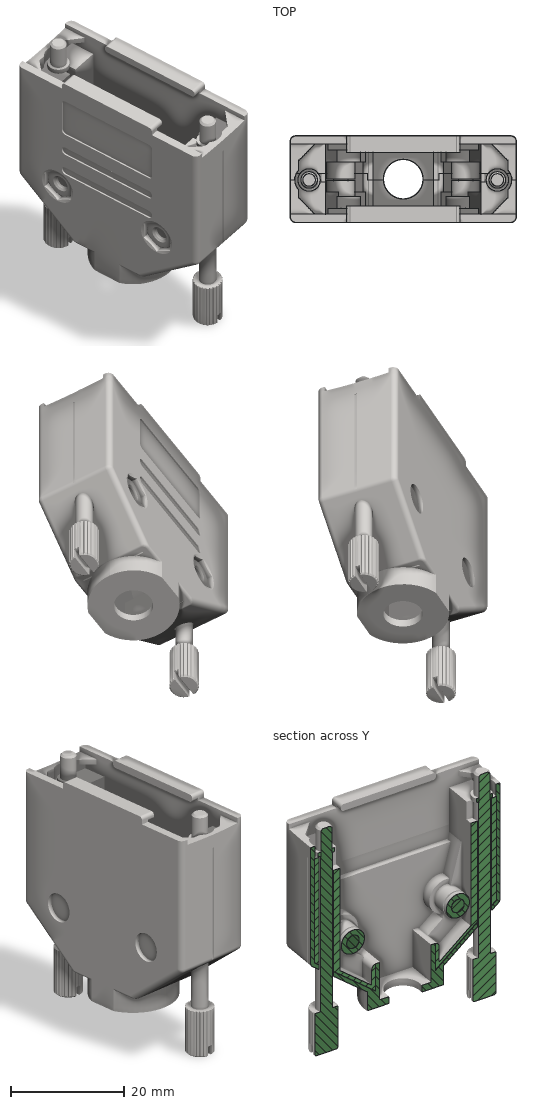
import cadquery as cq
import math

WIDTH = 40.0
DEPTH = 15.35
HALF_WIDTH = WIDTH / 2
HALF_DEPTH = DEPTH / 2
SEAM_Y = -0.15
RIM_Z = 45.05
SHOULDER_Z = 19.2
BODY_BOTTOM_Z = 9.7
SLOPE_END_X = 8.05
EDGE_RADIUS = 1.05
BOTTOM_EDGE_RADIUS = 0.5
WALL = 1.5
INNER_Y = HALF_DEPTH - WALL
SLOPE = (SHOULDER_Z - BODY_BOTTOM_Z) / (HALF_WIDTH - SLOPE_END_X)

NECK_BOTTOM_Z = 5.75
NECK_HALF_WIDTH = 8.1
NECK_FLAT_X = 2.75
NECK_FLOOR_Z = NECK_BOTTOM_Z + WALL
CABLE_HOLE_RADIUS = 3.5
THROAT_HALF_WIDTH = 5.35
THROAT_RIDGE_X = 7.15
THROAT_RIDGE_Z = 15.05
THROAT_RIDGE_RADIUS = 1.05

TAB_HALF_WIDTH = 10.0
TAB_TOP_Z = 46.5
TAB_DEPTH = 2.95
TAB_RADIUS = 0.6

CAVITY_HALF_WIDTH = 13.72
THICK_WALL_Y = 5.15
THICK_WALL_Z = 30.65
UNDERCUT_TOP_Z = 33.6
UNDERCUT_DEPTH = 0.15

END_TOP_Z = 44.1
END_DIP = 0.2
PLATE_BOTTOM_Z = 43.0
LANDING_Z = 41.3
SLOT_END_X = HALF_WIDTH - WALL
NOTCH_MOUTH_X = 15.65
NOTCH_HALF_WIDTH = 3.25
NOTCH_ROUND_RADIUS = 2.55
RELIEF_LOW_Y = -0.5
RELIEF_HIGH_Y = 1.05
RELIEF_DEPTH = 3.75

SEAM_GROOVE_WIDTH = 0.45
SEAM_GROOVE_DEPTH = 0.1

RECESS_DEPTH = 0.3
RECESS_LENGTH = 20.1
LABEL_Z = 38.4
LABEL_HEIGHT = 7.95
GRIP_ZS = (30.5, 25.75)
GRIP_HEIGHT = 1.7
RECESS_RADIUS = 0.8

CLAMP_X = 11.05
CLAMP_Z = 21.2
CLAMP_SCREW_RADIUS = 1.25
NUT_FLATS = 5.5
NUT_POCKET_FLATS = 5.85
NUT_THICKNESS = 1.75
NUT_SINK = 0.85
NUT_FACE_RADIUS = 2.73
NUT_BORE_CHAMFER = 0.35
SCREW_END_SINK = 0.95
POCKET_CONE_RADIUS = 3.5
POCKET_CONE_DEPTH = 0.2
HEAD_RADIUS = 2.73
POCKET_DEPTH = NUT_SINK + NUT_THICKNESS
SPACER_RADIUS = 2.5
SPACER_GAP = 0.3
BOSS_RADIUS = 3.52
BOSS_FACE_Y = 3.05

BENCH_BACK_Y = 3.05
BENCH_FRONT_Y = -2.25
BENCH_START_X = 6.67
BENCH_START_Z = 14.85
BENCH_KNEE_X = 9.78
BENCH_TOP_Z = 32.05

TONGUE_REACH_Y = 1.05
TONGUE_COVER = WALL / 2
TONGUE_START_X = 6.3

THUMB_X = 16.65
THUMB_TIP_Z = 47.0
SHAFT_RADIUS = 1.55
SHAFT_CLEARANCE_RADIUS = 1.7
THREAD_RADIUS = 1.45
TIP_CHAMFER = 0.352
KNOB_RADIUS = 2.65
KNOB_HEIGHT = 9.0
KNOB_CHAMFER = 0.3
KNURL_COUNT = 24
KNURL_DEPTH = 0.3
KNURL_HALF_ANGLE = 4.5
DRIVER_SLOT_WIDTH = 1.0
DRIVER_SLOT_DEPTH = 2.0
RING_RADIUS = 1.97
RING_HEIGHT = 0.95


def box(x0, x1, y0, y1, z0, z1):
    """Axis-aligned box between two corners."""
    return cq.Workplane("XY").box(x1 - x0, y1 - y0, z1 - z0, centered=False).translate((x0, y0, z0))


def along_y(profile, y0, y1):
    """Extrude a closed XZ profile between two Y planes."""
    return profile.extrude(y0 - y1).translate((0, y0, 0))


def rod_y(x, z, radius, y0, y1):
    """Cylinder along Y."""
    return along_y(cq.Workplane("XZ").center(x, z).circle(radius), y0, y1)


def rod_z(x, y, radius, z0, z1):
    """Cylinder along Z."""
    return cq.Workplane("XY", origin=(x, y, z0)).circle(radius).extrude(z1 - z0)


def hexagon_y(x, z, flats, y0, y1):
    """Hexagonal prism along Y with two flats facing +-X."""
    corner_diameter = flats / math.cos(math.pi / 6)
    profile = cq.Workplane("XZ").polygon(6, corner_diameter)
    prism = along_y(profile, y0, y1).rotate((0, 0, 0), (0, 1, 0), 30)
    return prism.translate((x, 0, z))


def mirrored_profile(right_points):
    """XZ polygon from its right half and the mirror image of that half."""
    left_points = [(-x, z) for x, z in reversed(right_points)]
    return cq.Workplane("XZ").polyline(right_points + left_points).close()


def slope_z(x, inset):
    """Height at x of the line that runs parallel to the slope at a distance inside it."""
    return BODY_BOTTOM_Z + (x - SLOPE_END_X) * SLOPE + inset * math.hypot(1, SLOPE)


def outer_body():
    """Shell outline with rounded front and back edges, before the neck is added."""
    outline = [(SLOPE_END_X, BODY_BOTTOM_Z), (HALF_WIDTH, SHOULDER_Z), (HALF_WIDTH, RIM_Z)]
    body = along_y(mirrored_profile(outline), -HALF_DEPTH, HALF_DEPTH)
    margin = EDGE_RADIUS
    shoulders = cq.selectors.BoxSelector(
        (-HALF_WIDTH - margin, -margin, SHOULDER_Z - margin),
        (HALF_WIDTH + margin, margin, SHOULDER_Z + margin),
    )
    body = body.edges(shoulders).fillet(EDGE_RADIUS)
    body = body.faces("<Y or >Y").edges("not |X").fillet(EDGE_RADIUS)
    return body.faces("<Z").edges("|X").fillet(BOTTOM_EDGE_RADIUS)


def neck():
    """Round cable neck with flats flush with the front and back faces."""
    return (
        cq.Workplane("XY", origin=(0, 0, NECK_BOTTOM_Z))
        .moveTo(-NECK_FLAT_X, -HALF_DEPTH)
        .lineTo(NECK_FLAT_X, -HALF_DEPTH)
        .threePointArc((NECK_HALF_WIDTH, 0), (NECK_FLAT_X, HALF_DEPTH))
        .lineTo(-NECK_FLAT_X, HALF_DEPTH)
        .threePointArc((-NECK_HALF_WIDTH, 0), (-NECK_FLAT_X, -HALF_DEPTH))
        .close()
        .extrude(BODY_BOTTOM_Z + WALL - NECK_BOTTOM_Z)
    )


def cavity():
    """Space inside the two shells, down to the cable throat."""
    upper = box(-CAVITY_HALF_WIDTH, CAVITY_HALF_WIDTH, -INNER_Y, INNER_Y, THICK_WALL_Z, RIM_Z)
    undercut_y = INNER_Y + UNDERCUT_DEPTH
    undercut = box(
        -CAVITY_HALF_WIDTH, CAVITY_HALF_WIDTH, -undercut_y, undercut_y, THICK_WALL_Z, UNDERCUT_TOP_Z
    )
    lower_outline = [
        (THROAT_RIDGE_X, slope_z(THROAT_RIDGE_X, WALL)),
        (CAVITY_HALF_WIDTH, slope_z(CAVITY_HALF_WIDTH, WALL)),
        (CAVITY_HALF_WIDTH, THICK_WALL_Z),
    ]
    lower = along_y(mirrored_profile(lower_outline), -THICK_WALL_Y, THICK_WALL_Y)
    ridges = box(
        -THROAT_RIDGE_X, THROAT_RIDGE_X, -THICK_WALL_Y, THICK_WALL_Y, BODY_BOTTOM_Z, THROAT_RIDGE_Z
    )
    ridges = ridges.faces(">Z").edges("|Y").fillet(THROAT_RIDGE_RADIUS)
    throat = box(
        -THROAT_HALF_WIDTH, THROAT_HALF_WIDTH, -THICK_WALL_Y, THICK_WALL_Y, NECK_FLOOR_Z, THROAT_RIDGE_Z
    )
    return upper.union(undercut).union(lower.cut(ridges)).union(throat)


def bench(side, y0, y1):
    """Thickened floor and side wall under one boss."""
    knee_z = BENCH_START_Z + (BENCH_KNEE_X - BENCH_START_X) * SLOPE
    outline = [
        (BENCH_START_X, slope_z(BENCH_START_X, WALL / 2)),
        (BENCH_START_X, BENCH_START_Z),
        (BENCH_KNEE_X, knee_z),
        (CAVITY_HALF_WIDTH, BENCH_TOP_Z),
        (CAVITY_HALF_WIDTH, slope_z(CAVITY_HALF_WIDTH, WALL / 2)),
    ]
    profile = cq.Workplane("XZ").polyline([(side * x, z) for x, z in outline]).close()
    return along_y(profile, y0, y1)


def clamp_supports(side):
    """Benches and bosses behind the pockets, with round spacers up to the seam, at one X side."""
    x = side * CLAMP_X
    bosses = rod_y(x, CLAMP_Z, BOSS_RADIUS, -INNER_Y, INNER_Y)
    bosses = bosses.cut(box(-HALF_WIDTH, HALF_WIDTH, -BOSS_FACE_Y, BOSS_FACE_Y, 0, RIM_Z))
    gap_front = SEAM_Y - SPACER_GAP / 2
    gap_back = SEAM_Y + SPACER_GAP / 2
    supports = rod_y(x, CLAMP_Z, SPACER_RADIUS, -INNER_Y, gap_front)
    supports = supports.union(rod_y(x, CLAMP_Z, SPACER_RADIUS, gap_back, INNER_Y))
    supports = supports.union(bosses)
    supports = supports.union(bench(side, -INNER_Y, BENCH_FRONT_Y))
    return supports.union(bench(side, BENCH_BACK_Y, INNER_Y))


def clamp_holes(side):
    """Screw bore with a hexagonal nut pocket in front and a round head pocket behind."""
    x = side * CLAMP_X
    bore = rod_y(x, CLAMP_Z, CLAMP_SCREW_RADIUS, -HALF_DEPTH, HALF_DEPTH)
    nut_pocket = hexagon_y(x, CLAMP_Z, NUT_POCKET_FLATS, -HALF_DEPTH, POCKET_DEPTH - HALF_DEPTH)
    head_pocket = rod_y(x, CLAMP_Z, HEAD_RADIUS, HALF_DEPTH - POCKET_DEPTH, HALF_DEPTH)
    cone_tip_radius = NUT_POCKET_FLATS / 2
    cone = cq.Solid.makeCone(
        POCKET_CONE_RADIUS, cone_tip_radius, POCKET_CONE_DEPTH,
        cq.Vector(x, -HALF_DEPTH, CLAMP_Z), cq.Vector(0, 1, 0),
    )
    return bore.union(nut_pocket).union(head_pocket).union(cq.Workplane(cone))


def latch_tab(side):
    """Round-ended bar over the rim; the part above the wall stands on square feet."""
    outer_y = side * HALF_DEPTH
    inner_y = side * (HALF_DEPTH - TAB_DEPTH)
    wall_y = side * INNER_Y
    bar = box(
        -TAB_HALF_WIDTH, TAB_HALF_WIDTH, min(outer_y, inner_y), max(outer_y, inner_y), RIM_Z, TAB_TOP_Z
    )
    bar = bar.edges("|Y").fillet(TAB_RADIUS)
    foot = box(
        -TAB_HALF_WIDTH, TAB_HALF_WIDTH, min(outer_y, wall_y), max(outer_y, wall_y),
        RIM_Z - WALL, (RIM_Z + TAB_TOP_Z) / 2,
    )
    return bar.union(foot)


def end_openings(side):
    """Lowered end top, flange slot, notched plate and screw clearance at one X side."""
    x = side * THUMB_X

    def slab(x_in, x_out, half_y, z0, z1):
        near, far = sorted((side * x_in, side * x_out))
        return box(near, far, -half_y, half_y, z0, z1)

    hollow_top = (
        cq.Workplane("YZ")
        .moveTo(-INNER_Y, RIM_Z)
        .lineTo(-INNER_Y, END_TOP_Z)
        .threePointArc((0, END_TOP_Z - END_DIP), (INNER_Y, END_TOP_Z))
        .lineTo(INNER_Y, RIM_Z)
        .close()
        .extrude(side * (HALF_WIDTH - CAVITY_HALF_WIDTH))
        .translate((side * CAVITY_HALF_WIDTH, 0, 0))
    )
    flange_slot = slab(CAVITY_HALF_WIDTH, SLOT_END_X, INNER_Y, LANDING_Z, PLATE_BOTTOM_Z)
    notch_points = [
        (CAVITY_HALF_WIDTH, -INNER_Y),
        (NOTCH_MOUTH_X, -INNER_Y),
        (SLOT_END_X, -NOTCH_HALF_WIDTH),
        (SLOT_END_X, NOTCH_HALF_WIDTH),
        (NOTCH_MOUTH_X, INNER_Y),
        (CAVITY_HALF_WIDTH, INNER_Y),
    ]
    notch = (
        cq.Workplane("XY", origin=(0, 0, LANDING_Z))
        .polyline([(side * px, py) for px, py in notch_points])
        .close()
        .extrude(RIM_Z - LANDING_Z)
    )
    notch_round = rod_z(x, SEAM_Y, NOTCH_ROUND_RADIUS, LANDING_Z, RIM_Z)
    shaft_hole = rod_z(x, SEAM_Y, SHAFT_CLEARANCE_RADIUS, 0, RIM_Z)
    near, far = sorted((side * CAVITY_HALF_WIDTH, x))
    relief = box(near, far, RELIEF_LOW_Y, RELIEF_HIGH_Y, LANDING_Z - RELIEF_DEPTH, LANDING_Z)
    openings = hollow_top
    for opening in (flange_slot, notch, notch_round, shaft_hole, relief):
        openings = openings.union(opening)
    return openings


def seam_groove(side):
    """Shallow groove along the seam on one side face."""
    near, far = sorted((side * (HALF_WIDTH - SEAM_GROOVE_DEPTH), side * HALF_WIDTH))
    half = SEAM_GROOVE_WIDTH / 2
    return box(near, far, SEAM_Y - half, SEAM_Y + half, SHOULDER_Z, LANDING_Z)


def face_recess(z, height):
    """Shallow round-cornered recess in the front face."""
    recess = cq.Workplane("XZ").rect(RECESS_LENGTH, height).extrude(-RECESS_DEPTH)
    return recess.edges("|Y").fillet(RECESS_RADIUS).translate((0, -HALF_DEPTH, z))


def complete_housing():
    """Both shells as one piece, before they are parted at the seam."""
    housing = outer_body().union(neck()).cut(cavity())
    housing = housing.cut(rod_z(0, 0, CABLE_HOLE_RADIUS, NECK_BOTTOM_Z, BODY_BOTTOM_Z))
    for side in (-1, 1):
        housing = housing.union(clamp_supports(side)).union(latch_tab(side))
    for side in (-1, 1):
        housing = housing.cut(clamp_holes(side)).cut(end_openings(side)).cut(seam_groove(side))
    housing = housing.cut(face_recess(LABEL_Z, LABEL_HEIGHT))
    for grip_z in GRIP_ZS:
        housing = housing.cut(face_recess(grip_z, GRIP_HEIGHT))
    return housing


def tongue_space(side):
    """Inner layer of the slope and side wall where the front shell crosses the seam."""
    outer_x = HALF_WIDTH - TONGUE_COVER
    outline = [
        (TONGUE_START_X, slope_z(TONGUE_START_X, TONGUE_COVER)),
        (outer_x, slope_z(outer_x, TONGUE_COVER)),
        (outer_x, LANDING_Z),
        (TONGUE_START_X, LANDING_Z),
    ]
    profile = cq.Workplane("XZ").polyline([(side * x, z) for x, z in outline]).close()
    spacer = rod_y(side * CLAMP_X, CLAMP_Z, SPACER_RADIUS, SEAM_Y, TONGUE_REACH_Y)
    return along_y(profile, SEAM_Y, TONGUE_REACH_Y).cut(spacer)


def front_space():
    """Everything on the front shell's side of the stepped seam."""
    space = box(-HALF_WIDTH, HALF_WIDTH, -HALF_DEPTH, SEAM_Y, 0, TAB_TOP_Z)
    return space.union(tongue_space(-1)).union(tongue_space(1))


def clamp_nut(side):
    """Hexagonal nut with chamfered outer corners and a chamfered threaded bore."""
    x = side * CLAMP_X
    front = NUT_SINK - HALF_DEPTH
    back = front + NUT_THICKNESS
    nut = hexagon_y(x, CLAMP_Z, NUT_FLATS, front, back)
    corner_cone = cq.Solid.makeCone(
        NUT_FACE_RADIUS, NUT_FACE_RADIUS + 2 * NUT_THICKNESS, NUT_THICKNESS,
        cq.Vector(x, front, CLAMP_Z), cq.Vector(0, 1, 0),
    )
    bore_cone = cq.Solid.makeCone(
        CLAMP_SCREW_RADIUS + NUT_BORE_CHAMFER, CLAMP_SCREW_RADIUS, NUT_BORE_CHAMFER,
        cq.Vector(x, front, CLAMP_Z), cq.Vector(0, 1, 0),
    )
    nut = nut.intersect(cq.Workplane(corner_cone)).cut(cq.Workplane(bore_cone))
    return nut.cut(rod_y(x, CLAMP_Z, CLAMP_SCREW_RADIUS, front, back))


def clamp_screw(side):
    """Screw with its head at the back and its end inside the nut."""
    x = side * CLAMP_X
    end_y = NUT_SINK + SCREW_END_SINK - HALF_DEPTH
    seat_y = HALF_DEPTH - POCKET_DEPTH
    shank = rod_y(x, CLAMP_Z, CLAMP_SCREW_RADIUS, end_y, seat_y)
    return shank.union(rod_y(x, CLAMP_Z, HEAD_RADIUS, seat_y, HALF_DEPTH - NUT_SINK))


def knurl_grooves():
    """V grooves around the knob, as one tool centred on the Z axis."""
    groove_bottom = KNOB_RADIUS - KNURL_DEPTH
    outer = KNOB_RADIUS + KNURL_DEPTH
    half_width = outer * math.tan(math.radians(KNURL_HALF_ANGLE))
    grooves = (
        cq.Workplane("XY")
        .polarArray(0, 0, 360, KNURL_COUNT)
        .eachpoint(
            lambda place: cq.Workplane("XY")
            .polyline([(groove_bottom, 0), (outer, half_width), (outer, -half_width)])
            .close()
            .extrude(KNOB_HEIGHT)
            .val()
            .moved(place)
        )
    )
    return cq.Workplane(cq.Compound.makeCompound(grooves.vals()))


def thumbscrew(side):
    """Long screw with a knurled, slotted knob and a thinner threaded end."""
    knob = rod_z(0, 0, KNOB_RADIUS, 0, KNOB_HEIGHT).faces("<Z").chamfer(KNOB_CHAMFER)
    knob = knob.cut(knurl_grooves())
    half_slot = DRIVER_SLOT_WIDTH / 2
    knob = knob.cut(box(-KNOB_RADIUS, KNOB_RADIUS, -half_slot, half_slot, 0, DRIVER_SLOT_DEPTH))
    shaft = rod_z(0, 0, SHAFT_RADIUS, KNOB_HEIGHT, LANDING_Z)
    thread = rod_z(0, 0, THREAD_RADIUS, LANDING_Z, THUMB_TIP_Z).faces(">Z").chamfer(TIP_CHAMFER)
    return knob.union(shaft).union(thread).translate((side * THUMB_X, SEAM_Y, 0))


def retaining_ring(side):
    """Ring around the thread that keeps the thumbscrew in the housing."""
    ring = cq.Workplane("XY").circle(RING_RADIUS).circle(THREAD_RADIUS).extrude(RING_HEIGHT)
    return ring.translate((side * THUMB_X, SEAM_Y, LANDING_Z))


housing = complete_housing()
front_shell = housing.intersect(front_space())
back_shell = housing.cut(front_space())

bodies = [*front_shell.vals(), *back_shell.vals()]
for make_body in (clamp_nut, clamp_screw, thumbscrew, retaining_ring):
    for side in (-1, 1):
        bodies.append(make_body(side).val())

result = cq.Compound.makeCompound(bodies)